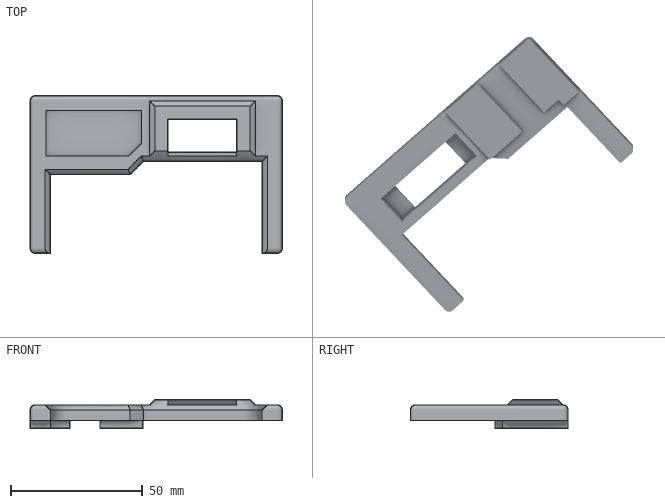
import cadquery as cq

length = 96.0
width = 60.0
foot_height = 3.0
plate_thickness = 6.0
plate_top = foot_height + plate_thickness
edge_radius = 2.0

bevel = 2.0
arm_width = 7.7
notch_left = arm_width
notch_right = length - arm_width
notch_label_y = 30.0
notch_window_y = 35.0
notch_step_right_x = 43.1
notch_step_left_x = notch_step_right_x - (notch_window_y - notch_label_y)
notch_overrun = 10.0

pad_height = 2.0
pad_side_angle = 45.0
pad_left, pad_right = 45.5, 85.7
pad_front = notch_window_y + bevel
pad_back = width - edge_radius
pad_top = plate_top + pad_height

window_left, window_right = 52.4, 78.6
window_front, window_back = 38.5, 51.0

bay_side_overlap = 6.2
bay_ceiling = plate_top

label_left, label_right = 6.0, 42.3
label_front, label_back = 37.0, 54.3
label_corner = 4.8
label_depth = 1.0

foot_front = 32.1
foot_inner_front = notch_window_y
side_foot_right = 15.1
middle_foot_left, middle_foot_right = 26.5, 42.9


def box(x_min, x_max, y_min, y_max, z_min, z_max):
    """Axis-aligned block given by its limits."""
    size = (x_max - x_min, y_max - y_min, z_max - z_min)
    return cq.Workplane("XY").box(*size, centered=False).translate((x_min, y_min, z_min))


def make_body():
    """Full rectangular plate with its feet and rounded outer edges."""
    body = box(0, length, 0, width, 0, plate_top)
    body = body.edges("|Z").fillet(edge_radius)
    body = body.faces(">Z").edges().fillet(edge_radius)
    return body.cut(make_underside_clearance())


def make_underside_clearance():
    """Space below the plate, everywhere except at the feet."""
    clearance = box(0, length, 0, width, 0, foot_height)
    feet = (
        box(0, arm_width, foot_front, width, 0, foot_height)
        .union(box(arm_width, side_foot_right, foot_inner_front, width, 0, foot_height))
        .union(box(middle_foot_left, middle_foot_right, foot_inner_front, width, 0, foot_height))
    )
    return clearance.cut(feet)


def make_notch():
    """Stepped opening between the arms, flaring outward at the top."""
    outline = [
        (notch_left, -notch_overrun),
        (notch_left, notch_label_y),
        (notch_step_left_x, notch_label_y),
        (notch_step_right_x, notch_window_y),
        (notch_right, notch_window_y),
        (notch_right, -notch_overrun),
    ]
    bevel_start = plate_top - bevel
    straight = cq.Workplane("XY").polyline(outline).close().extrude(bevel_start)
    lower = cq.Workplane("XY", origin=(0, 0, bevel_start)).polyline(outline).close()
    upper = (
        cq.Workplane("XY", origin=(0, 0, plate_top))
        .polyline(outline)
        .close()
        .offset2D(bevel, "intersection")
    )
    flare = cq.Workplane(cq.Solid.makeLoft([lower.wire().val(), upper.wire().val()], True))
    return straight.union(flare)


def make_pad():
    """Raised pad with all four sides sloping inward."""
    return (
        cq.Workplane("XY", origin=(0, 0, plate_top))
        .center((pad_left + pad_right) / 2, (pad_front + pad_back) / 2)
        .rect(pad_right - pad_left, pad_back - pad_front)
        .extrude(pad_height, taper=pad_side_angle)
    )


def make_display_bay():
    """Bay under the window, open at the bottom of the plate."""
    bay_left = window_left - bay_side_overlap
    bay_right = window_right + bay_side_overlap
    return box(bay_left, bay_right, window_front, window_back, 0, bay_ceiling)


def make_window():
    """Window through the pad, extended forward to break out of the front slope."""
    return box(window_left, window_right, pad_front, window_back, bay_ceiling, pad_top)


def make_label_recess():
    """Shallow recess whose front right corner is cut at 45 degrees."""
    outline = [
        (label_left, label_front),
        (label_right - label_corner, label_front),
        (label_right, label_front + label_corner),
        (label_right, label_back),
        (label_left, label_back),
    ]
    floor = plate_top - label_depth
    return cq.Workplane("XY", origin=(0, 0, floor)).polyline(outline).close().extrude(label_depth)


result = (
    make_body()
    .cut(make_notch())
    .union(make_pad())
    .cut(make_display_bay())
    .cut(make_window())
    .cut(make_label_recess())
)